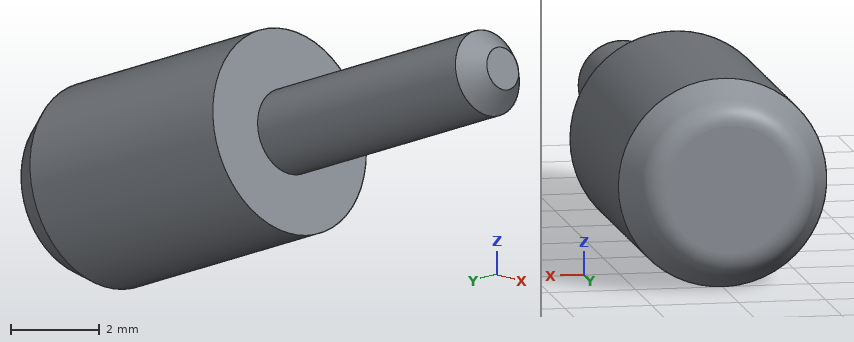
import cadquery as cq
import math

overall_length = 14.0
head_length = 7.0
head_diameter = 4.8
taper_length = 1.0
taper_angle = 30.0
rim_radius = 0.6
pin_diameter = 2.0
tip_chamfer = 0.5

rear_y = overall_length / 2
seat_y = rear_y - head_length
tip_y = -overall_length / 2


def make_head():
    """Cylinder with a cone and a rounded rim at its rear end."""
    radius = head_diameter / 2
    cone_start_y = rear_y - taper_length

    angle = math.radians(taper_angle)
    sharp_rim_radius = radius - taper_length * math.tan(angle)
    turn = math.pi / 2 - angle
    flat_radius = sharp_rim_radius - rim_radius * math.tan(turn / 2)
    arc_centre_y = rear_y - rim_radius

    def rim_point(direction):
        return (
            flat_radius + rim_radius * math.cos(direction),
            arc_centre_y + rim_radius * math.sin(direction),
        )

    return (
        cq.Workplane("XY")
        .moveTo(0, seat_y)
        .lineTo(radius, seat_y)
        .lineTo(radius, cone_start_y)
        .lineTo(*rim_point(angle))
        .threePointArc(rim_point(angle + turn / 2), (flat_radius, rear_y))
        .lineTo(0, rear_y)
        .close()
        .revolve(360, (0, 0, 0), (0, 1, 0))
    )


def make_pin():
    """Chamfered pin that butts against the front face of the head."""
    return (
        cq.Workplane("XZ", origin=(0, seat_y, 0))
        .circle(pin_diameter / 2)
        .extrude(seat_y - tip_y)
        .faces("<Y")
        .chamfer(tip_chamfer)
    )


head = make_head()
pin = make_pin()

result = cq.Compound.makeCompound([head.val(), pin.val()])